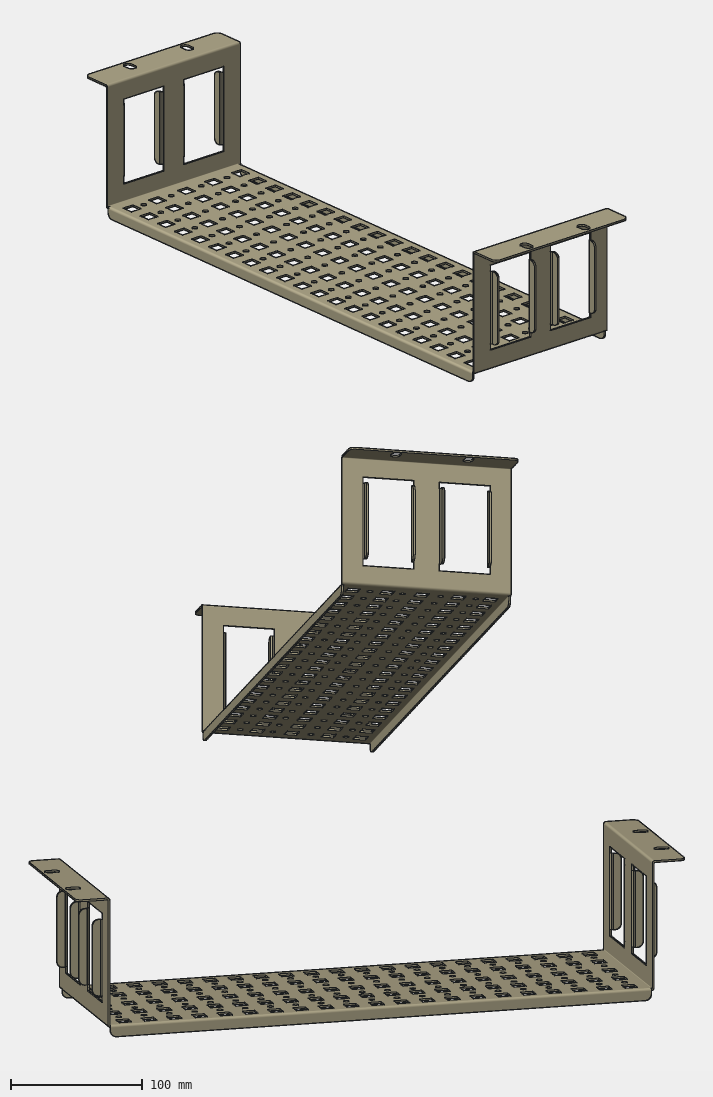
import cadquery as cq

width = 482.0
depth = 132.5
height = 109.0

sheet = 1.5
inner_bend = 0.5
outer_bend = inner_bend + sheet
corner_radius = 5.0

wall_outer_x = 216.0
wall_inner_x = wall_outer_x - sheet
lip_height = 9.0
floor_top = -height / 2 + lip_height
floor_bottom = floor_top - sheet
top = height / 2
tray_half_length = wall_outer_x - outer_bend

column_count = 21
column_span = 400.0
column_pitch = column_span / (column_count - 1)
square_size = 9.5
square_rows = [54.0, 27.0, 0.0, -29.0, -54.0]
round_diameter = 4.5
round_rows = [40.5, 15.0, -15.0, -42.5]

slot_length = 11.5
slot_width = 7.0
slot_x = 233.0
slot_y = 28.5

window_width = 40.0
window_height = 70.0
window_y = 30.0
window_drop = 50.5
window_z = top - window_drop
tab_length = 60.0
tab_reach = 7.0
tab_inner_bend = 1.0
tab_outer_bend = tab_inner_bend + sheet


def make_end(side):
    """Side wall with its ear and the bend into the floor; side is -1 or 1."""
    end = (
        cq.Workplane("XZ")
        .moveTo(width / 2, top)
        .lineTo(wall_inner_x + outer_bend, top)
        .radiusArc((wall_inner_x, top - outer_bend), -outer_bend)
        .lineTo(wall_inner_x, floor_top + inner_bend)
        .radiusArc((tray_half_length, floor_top), inner_bend)
        .lineTo(tray_half_length, floor_bottom)
        .radiusArc((wall_outer_x, floor_bottom + outer_bend), -outer_bend)
        .lineTo(wall_outer_x, top - outer_bend)
        .radiusArc((wall_outer_x + inner_bend, top - sheet), inner_bend)
        .lineTo(width / 2, top - sheet)
        .close()
        .extrude(depth / 2, both=True)
        .edges("|Z and >X")
        .fillet(corner_radius)
    )
    if side < 0:
        end = end.mirror("YZ")
    return end


def make_tray():
    """Floor with a lip folded down along each long side and rounded lip corners."""
    tray = (
        cq.Workplane("XY")
        .box(2 * tray_half_length, depth, lip_height, centered=(True, True, False))
        .translate((0, 0, floor_top - lip_height))
        .edges("|X and >Z")
        .fillet(outer_bend)
        .edges("|Y and <Z")
        .fillet(corner_radius)
    )
    hollow = (
        cq.Workplane("XY")
        .box(width, depth - 2 * sheet, lip_height, centered=(True, True, False))
        .translate((0, 0, floor_bottom - lip_height))
        .edges("|X and >Z")
        .fillet(inner_bend)
    )
    return tray.cut(hollow)


def make_floor_holes():
    """Cutter for the alternating rows of square and round floor holes."""
    first_x = -column_span / 2
    columns = [first_x + i * column_pitch for i in range(column_count)]
    hole_depth = 3 * sheet
    plane = cq.Workplane("XY", origin=(0, 0, floor_bottom - sheet))
    squares = (
        plane.pushPoints([(x, y) for x in columns for y in square_rows])
        .rect(square_size, square_size)
        .extrude(hole_depth)
    )
    rounds = (
        plane.pushPoints([(x, y) for x in columns for y in round_rows])
        .circle(round_diameter / 2)
        .extrude(hole_depth)
    )
    return squares.add(rounds).combine()


def make_ear_slots():
    """Cutter for the mounting slots in both ears."""
    return (
        cq.Workplane("XY", origin=(0, 0, top - 2 * sheet))
        .rect(2 * slot_x, 2 * slot_y, forConstruction=True)
        .vertices()
        .slot2D(slot_length, slot_width)
        .extrude(3 * sheet)
    )


def make_windows():
    """Cutter for the two windows through each side wall."""
    return (
        cq.Workplane("YZ")
        .pushPoints([(-window_y, window_z), (window_y, window_z)])
        .rect(window_width, window_height)
        .extrude(width / 2, both=True)
    )


def make_tab(side, edge_y, inward):
    """Tab folded outward from a window edge; inward is the Y direction into the window."""
    tip_x = wall_outer_x + tab_reach
    face_y = inward * tab_inner_bend
    back_y = inward * tab_outer_bend
    tab = (
        cq.Workplane("XY", origin=(0, edge_y, window_z - tab_length / 2))
        .moveTo(wall_inner_x, 0)
        .radiusArc((wall_inner_x + tab_outer_bend, back_y), -inward * tab_outer_bend)
        .lineTo(tip_x, back_y)
        .lineTo(tip_x, face_y)
        .lineTo(wall_outer_x + tab_inner_bend, face_y)
        .radiusArc((wall_outer_x, 0), inward * tab_inner_bend)
        .close()
        .extrude(tab_length)
        .edges("|Y and >X")
        .fillet(corner_radius)
    )
    if side < 0:
        tab = tab.mirror("YZ")
    return tab


result = make_tray().cut(make_floor_holes())
for side in (-1, 1):
    result = result.union(make_end(side))
result = result.cut(make_ear_slots()).cut(make_windows())
for side in (-1, 1):
    for center_y in (-window_y, window_y):
        for inward in (-1, 1):
            edge_y = center_y - inward * window_width / 2
            result = result.union(make_tab(side, edge_y, inward))